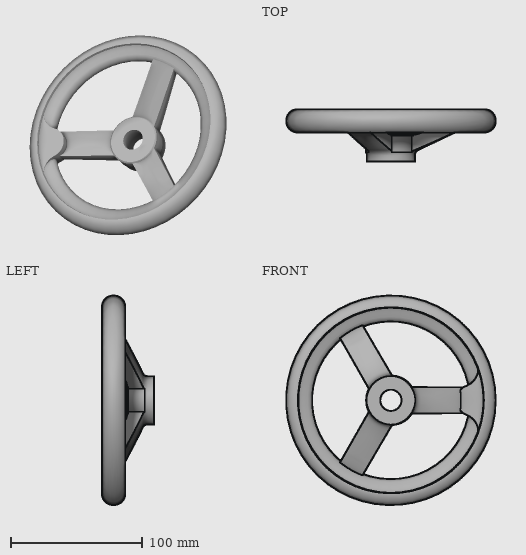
import cadquery as cq
import math


rim_outer_radius = 80.0
rim_half_width = 9.0
rim_inner_radius = 60.0
rim_center_radius = rim_outer_radius - rim_half_width
step_radius = rim_center_radius - 0.5
lip_edge_radius = 63.5
web_slope = math.radians(17)
lip_radius = (lip_edge_radius - rim_inner_radius) / (1 - math.sin(web_slope))
lip_edge_y = lip_radius * math.cos(web_slope)
step_y = lip_edge_y + (step_radius - lip_edge_radius) * math.tan(web_slope)

overall_width = 40.0
hub_neck_radius = 18.5
hub_radius = 19.0
bore_radius = 8.0
hub_front_y = rim_half_width - overall_width
hub_length = 20.8
hub_back_y = hub_front_y + hub_length
hub_back_chamfer = 1.0
hub_corner_y = hub_back_y - hub_back_chamfer

spoke_count = 3
spoke_half_width_inner = 10.3
spoke_half_width_outer = 9.9
spoke_outer_radius = 66.0
front_cone_radius = 49.0
front_cone_slope = 0.47
back_cone_slope = 0.35
hub_fillet_radius = 3.5

boss_center_x = 62.0
boss_radius = 12.0
boss_half_width = 6.9
boss_fillet_radius = 13.3
boss_fillet_end_z = 23.7


def revolve_about_y(profile):
    """Full turn about the Y axis of a profile drawn with X as radius."""
    return profile.close().revolve(360, (0, 0, 0), (0, 1, 0))


def make_rim():
    profile = (
        cq.Workplane("XY")
        .moveTo(rim_center_radius, -rim_half_width)
        .threePointArc((rim_outer_radius, 0), (rim_center_radius, rim_half_width))
        .lineTo(step_radius, step_y)
        .lineTo(lip_edge_radius, lip_edge_y)
        .threePointArc((rim_inner_radius, 0), (lip_edge_radius, -lip_edge_y))
        .lineTo(step_radius, -step_y)
    )
    return revolve_about_y(profile)


def front_cone_y(radius):
    return -rim_half_width + (radius - front_cone_radius) * front_cone_slope


def back_cone_y(radius):
    return hub_corner_y + (radius - hub_radius) * back_cone_slope


def make_dish():
    """Hub with a cone-shaped shell around it and a concave fillet between the neck and the cone."""
    cone_angle = math.atan(front_cone_slope)
    tangent_length = hub_fillet_radius * math.tan((math.pi / 2 - cone_angle) / 2)
    fillet_neck_y = front_cone_y(hub_neck_radius) - tangent_length
    fillet_cone_radius = hub_neck_radius + tangent_length * math.cos(cone_angle)
    fillet_middle_angle = (math.pi / 2 - cone_angle) / 2
    fillet_middle = (
        hub_neck_radius + hub_fillet_radius * (1 - math.cos(fillet_middle_angle)),
        fillet_neck_y + hub_fillet_radius * math.sin(fillet_middle_angle),
    )
    profile = (
        cq.Workplane("XY")
        .moveTo(bore_radius, hub_front_y)
        .lineTo(hub_neck_radius, hub_front_y)
        .lineTo(hub_neck_radius, fillet_neck_y)
        .threePointArc(fillet_middle, (fillet_cone_radius, front_cone_y(fillet_cone_radius)))
        .lineTo(spoke_outer_radius, front_cone_y(spoke_outer_radius))
        .lineTo(spoke_outer_radius, back_cone_y(spoke_outer_radius))
        .lineTo(hub_radius, hub_corner_y)
        .lineTo(hub_radius - hub_back_chamfer, hub_back_y)
        .lineTo(bore_radius, hub_back_y)
    )
    return revolve_about_y(profile)


def make_hub_and_spokes():
    """The dish trimmed to a round hub and equally spaced, slightly tapered arms."""
    outline = [
        (0, -spoke_half_width_inner),
        (spoke_outer_radius, -spoke_half_width_outer),
        (spoke_outer_radius, spoke_half_width_outer),
        (0, spoke_half_width_inner),
    ]
    arm = cq.Workplane("XZ").polyline(outline).close().extrude(overall_width, both=True)
    kept_region = cq.Workplane("XZ").circle(hub_radius).extrude(overall_width, both=True)
    for index in range(spoke_count):
        kept_region = kept_region.union(arm.rotate((0, 0, 0), (0, 1, 0), index * 360 / spoke_count))
    return make_dish().intersect(kept_region)


def make_handle_boss():
    """Flat boss whose round end flows into the rim through two concave fillets."""
    center_distance = boss_radius + boss_fillet_radius
    center_dx = math.sqrt(center_distance**2 - boss_fillet_end_z**2)
    fillet_center_x = boss_center_x - center_dx
    fillet_end_x = fillet_center_x + boss_fillet_radius
    boss_share = boss_radius / center_distance
    tangent_x = boss_center_x - center_dx * boss_share
    tangent_z = boss_fillet_end_z * boss_share
    middle_angle = math.atan2(tangent_z - boss_fillet_end_z, tangent_x - fillet_center_x) / 2
    middle_x = fillet_center_x + boss_fillet_radius * math.cos(middle_angle)
    middle_z = boss_fillet_end_z + boss_fillet_radius * math.sin(middle_angle)
    rim_end_x = math.sqrt(rim_center_radius**2 - boss_fillet_end_z**2)
    outline = (
        cq.Workplane("XZ")
        .moveTo(rim_end_x, -boss_fillet_end_z)
        .lineTo(fillet_end_x, -boss_fillet_end_z)
        .threePointArc((middle_x, -middle_z), (tangent_x, -tangent_z))
        .threePointArc((boss_center_x - boss_radius, 0), (tangent_x, tangent_z))
        .threePointArc((middle_x, middle_z), (fillet_end_x, boss_fillet_end_z))
        .lineTo(rim_end_x, boss_fillet_end_z)
        .threePointArc((rim_center_radius, 0), (rim_end_x, -boss_fillet_end_z))
        .close()
    )
    return outline.extrude(boss_half_width, both=True)


result = make_rim().union(make_handle_boss()).union(make_hub_and_spokes())